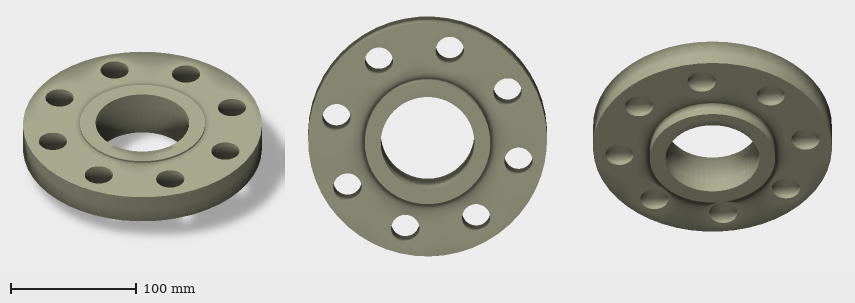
import cadquery as cq

flange_diameter = 190.5
hub_diameter = 100.0
raised_face_diameter = hub_diameter
bore_diameter = 74.7
total_height = 38.1
hub_height = 12.4
raised_face_height = 1.5
flange_thickness = total_height - hub_height - raised_face_height

bolt_hole_count = 8
bolt_hole_diameter = 22.5
bolt_circle_diameter = 149.4
bolt_pitch_angle = 360.0 / bolt_hole_count


def disc(diameter, height, base_z):
    """Solid disc on the Z axis, standing on base_z."""
    return cq.Workplane("XY").workplane(offset=base_z).circle(diameter / 2).extrude(height)


hub = disc(hub_diameter, hub_height, 0)
flange = disc(flange_diameter, flange_thickness, hub_height)
raised_face = disc(raised_face_diameter, raised_face_height, hub_height + flange_thickness)
body = hub.union(flange).union(raised_face)

bore = disc(bore_diameter, total_height, 0)

bolt_holes = (
    cq.Workplane("XY")
    .polarArray(bolt_circle_diameter / 2, bolt_pitch_angle / 2, 360, bolt_hole_count)
    .circle(bolt_hole_diameter / 2)
    .extrude(total_height)
)

result = body.cut(bore).cut(bolt_holes)